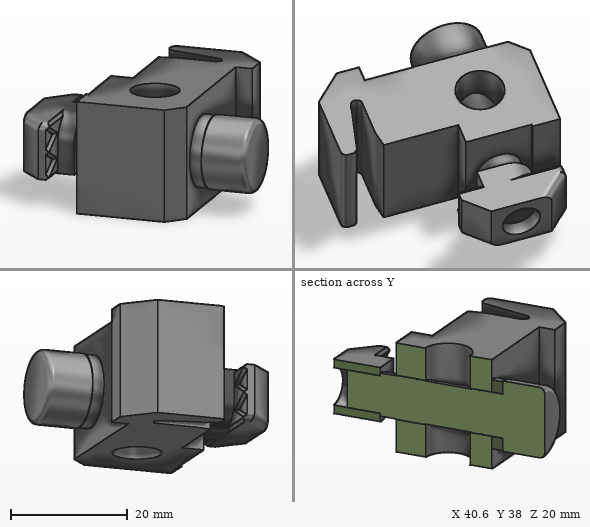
import cadquery as cq
import math

BOLT_DIA = 8.0
BOLT_TIP_DIA = 6.8

HOUSING_HEIGHT = 20.0
HOUSING_BACK_X = 8.5
HOUSING_FRONT_Y = -11.0
FRONT_CHAMFER = 3.0
FOOT_X = -10.45
SEAT_X = -10.0
SEAT_HALF_WIDTH = 5.95
COLUMN_X = -6.0
CROSS_HOLE_DIA = 8.5

HOOK_BACK_X = 11.5
HOOK_TOP_Y = 27.0
HOOK_SHOULDER_Y = 18.0
HOOK_CHAMFER = 4.95
HOOK_TIP_ROUND = 1.0

SLOT_END_X = 3.85
SLOT_FLOOR_Y = 20.0
SLOT_RADIUS = 1.0
SLOT_FLARE = math.radians(12.9)
SLOT_LIP_DROP = 0.5
SLOT_LIP_LENGTH = 3.0

CLAMP_X = -21.95
CLAMP_LENGTH = 19.0
CLAMP_THICKNESS = 10.0
PLATE_DEPTH = 6.0
CLAMP_DEPTH = 9.0
END_CHAMFER = 4.0
CORNER_ROUND = 1.5
TOOTH_HEIGHT = 0.6
TOOTH_PITCH = 4.5
TOOTH_TAPER = 36
EDGE_BEVEL = CLAMP_THICKNESS / 2 - TOOTH_PITCH

BOLT_TIP_RECESS = 2.5
HEAD_DIA = 13.0
HEAD_LENGTH = 8.05
HEAD_ROUND = 1.0
WASHER_DIA = 12.7
WASHER_THICKNESS = 2.1

CLAMP_INNER_X = CLAMP_X + CLAMP_DEPTH


def x_cylinder(diameter, start_x, end_x):
    """Cylinder about the bolt axis between two X positions."""
    return cq.Workplane("YZ", origin=(start_x, 0, 0)).circle(diameter / 2).extrude(end_x - start_x)


def make_housing():
    """Hooked block with a vertical cross hole and a bolt hole."""
    slot_center_y = SLOT_FLOOR_Y + SLOT_RADIUS
    flare_start = (
        SLOT_END_X + SLOT_RADIUS * math.sin(SLOT_FLARE),
        slot_center_y + SLOT_RADIUS * math.cos(SLOT_FLARE),
    )
    tip_y = flare_start[1] + (flare_start[0] - COLUMN_X) * math.tan(SLOT_FLARE)
    body = (
        cq.Workplane("XY", origin=(0, 0, -HOUSING_HEIGHT / 2))
        .moveTo(FOOT_X, HOUSING_FRONT_Y)
        .lineTo(HOUSING_BACK_X - FRONT_CHAMFER, HOUSING_FRONT_Y)
        .lineTo(HOUSING_BACK_X, HOUSING_FRONT_Y + FRONT_CHAMFER)
        .lineTo(HOUSING_BACK_X, HOOK_SHOULDER_Y)
        .lineTo(HOOK_BACK_X, HOOK_SHOULDER_Y)
        .lineTo(HOOK_BACK_X, HOOK_TOP_Y - HOOK_CHAMFER)
        .lineTo(HOOK_BACK_X - HOOK_CHAMFER, HOOK_TOP_Y)
        .lineTo(COLUMN_X, HOOK_TOP_Y)
        .lineTo(COLUMN_X, tip_y)
        .lineTo(*flare_start)
        .threePointArc((SLOT_END_X + SLOT_RADIUS, slot_center_y), (SLOT_END_X, SLOT_FLOOR_Y))
        .lineTo(COLUMN_X + SLOT_LIP_LENGTH, SLOT_FLOOR_Y)
        .lineTo(COLUMN_X, SLOT_FLOOR_Y - SLOT_LIP_DROP)
        .lineTo(COLUMN_X, SEAT_HALF_WIDTH)
        .lineTo(SEAT_X, SEAT_HALF_WIDTH)
        .lineTo(SEAT_X, -SEAT_HALF_WIDTH)
        .lineTo(FOOT_X, -SEAT_HALF_WIDTH)
        .close()
        .extrude(HOUSING_HEIGHT)
    )
    for corner_y in (HOOK_TOP_Y, tip_y):
        body = body.edges(cq.NearestToPointSelector((COLUMN_X, corner_y, 0))).fillet(HOOK_TIP_ROUND)
    cross_hole = cq.Workplane("XY").circle(CROSS_HOLE_DIA / 2).extrude(HOUSING_HEIGHT / 2, both=True)
    return body.cut(cross_hole).cut(x_cylinder(BOLT_DIA, SEAT_X, HOUSING_BACK_X))


def make_notch(side, z):
    """Tapered triangular notch between two teeth, open at the plate end on the given Y side."""
    reach = (CLAMP_LENGTH - CLAMP_THICKNESS) / 2
    half_pitch = TOOTH_PITCH / 2
    return (
        cq.Workplane("YZ", origin=(CLAMP_X + PLATE_DEPTH, side * CLAMP_LENGTH / 2, z))
        .polyline([(reach, 0), (0, half_pitch), (-reach, 0), (0, -half_pitch)])
        .close()
        .extrude(-TOOTH_HEIGHT, taper=TOOTH_TAPER)
    )


def make_edge_bevel(side):
    """Corner strip cut off along one long edge of the toothed face, on the given Z side."""
    face_x = CLAMP_X + PLATE_DEPTH
    edge_z = side * CLAMP_THICKNESS / 2
    corners = [(face_x, edge_z), (face_x - TOOTH_HEIGHT, edge_z), (face_x, edge_z - side * EDGE_BEVEL)]
    return cq.Workplane("XZ").polyline(corners).close().extrude(CLAMP_LENGTH / 2, both=True)


def make_clamp():
    """Quarter-turn clamp: a toothed plate with a boss that has two opposite round corners."""
    half_length = CLAMP_LENGTH / 2
    half_thickness = CLAMP_THICKNESS / 2
    plate = (
        cq.Workplane("XY", origin=(CLAMP_X, 0, -half_thickness))
        .moveTo(0, half_length - END_CHAMFER)
        .lineTo(END_CHAMFER, half_length)
        .lineTo(PLATE_DEPTH, half_length)
        .lineTo(PLATE_DEPTH, -half_length)
        .lineTo(END_CHAMFER, -half_length)
        .lineTo(0, END_CHAMFER - half_length)
        .close()
        .extrude(CLAMP_THICKNESS)
    )
    sloped_edge_x = CLAMP_X + END_CHAMFER / 2
    end_edge_x = CLAMP_X + (END_CHAMFER + PLATE_DEPTH) / 2
    for side in (-1, 1):
        edge_z = -side * half_thickness
        sloped_edge = (sloped_edge_x, side * (half_length - END_CHAMFER / 2), edge_z)
        end_edge = (end_edge_x, side * half_length, edge_z)
        rounded_edges = cq.NearestToPointSelector(sloped_edge) + cq.NearestToPointSelector(end_edge)
        plate = plate.edges(rounded_edges).fillet(CORNER_ROUND)
    for side in (-1, 1):
        plate = plate.cut(make_edge_bevel(side))
        for z in (-TOOTH_PITCH / 2, TOOTH_PITCH / 2):
            plate = plate.cut(make_notch(side, z))

    boss_x = CLAMP_X + PLATE_DEPTH - TOOTH_HEIGHT
    boss = (
        cq.Workplane("YZ", origin=(boss_x, 0, 0))
        .moveTo(0, half_thickness)
        .lineTo(half_thickness, half_thickness)
        .lineTo(half_thickness, 0)
        .radiusArc((0, -half_thickness), half_thickness)
        .lineTo(-half_thickness, -half_thickness)
        .lineTo(-half_thickness, 0)
        .radiusArc((0, half_thickness), half_thickness)
        .close()
        .extrude(CLAMP_INNER_X - boss_x)
    )
    return plate.union(boss).cut(x_cylinder(BOLT_TIP_DIA, CLAMP_X, CLAMP_INNER_X))


def make_washer():
    """Ring between the housing and the bolt head."""
    end_x = HOUSING_BACK_X + WASHER_THICKNESS
    return x_cylinder(WASHER_DIA, HOUSING_BACK_X, end_x).cut(x_cylinder(BOLT_DIA, HOUSING_BACK_X, end_x))


def make_bolt():
    """Cylinder-head bolt with a reduced tip that fills the clamp hole."""
    head_x = HOUSING_BACK_X + WASHER_THICKNESS
    head = x_cylinder(HEAD_DIA, head_x, head_x + HEAD_LENGTH).faces(">X").edges().fillet(HEAD_ROUND)
    shank = x_cylinder(BOLT_DIA, CLAMP_INNER_X, head_x)
    tip = x_cylinder(BOLT_TIP_DIA, CLAMP_X + BOLT_TIP_RECESS, CLAMP_INNER_X)
    return head.union(shank).union(tip)


housing = make_housing()
clamp = make_clamp()
washer = make_washer()
bolt = make_bolt()

result = cq.Compound.makeCompound([housing.val(), clamp.val(), washer.val(), bolt.val()])